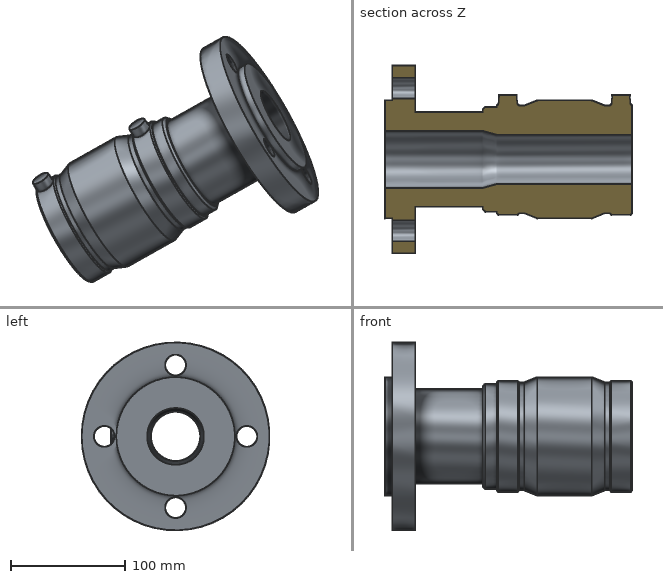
import cadquery as cq

total_length = 217
raised_face_height = 6.5
flange_back = 27.0
collar_start = 85.7
ring_width = 19.8
front_ring_start = 98.0
front_ring_end = front_ring_start + ring_width
rear_ring_start = total_length - ring_width
barrel_start = 133.7
barrel_end = 181.7
cone_length = 11.3

raised_face_diameter = 104.0
flange_diameter = 165
pipe_diameter = 83.3
collar_diameter = 92.5
ring_diameter = 97.7
neck_diameter = 94.8
barrel_diameter = 104.0
collar_chamfer = 2.4
ring_chamfer = (ring_diameter - neck_diameter) / 2

bore_inlet_diameter = 50
bore_outlet_diameter = 43.0
bore_taper_start = collar_start
bore_taper_end = front_ring_start

bolt_count = 4
bolt_hole_diameter = 18.0
bolt_circle_diameter = 125.0

pin_tip_y = 56.6
pin_base_y = 43.5
pin_tip_diameter = 15.8
pin_base_diameter = 17.8


def cylinder(start, end, diameter):
    """Solid cylinder along X between two stations."""
    return cq.Workplane("YZ", origin=(start, 0, 0)).circle(diameter / 2).extrude(end - start)


def revolve_profile(points):
    """Solid of revolution about X from (x, radius) points."""
    return cq.Workplane("XY").polyline(points).close().revolve(360, (0, 0, 0), (1, 0, 0))


def ring(start):
    """Clamping ring with both rims chamfered."""
    return cylinder(start, start + ring_width, ring_diameter).edges().chamfer(ring_chamfer)


def pin(ring_start):
    """Tapered pin standing on the middle of a ring, pointing along +Y."""
    return cq.Workplane(cq.Solid.makeCone(
        pin_base_diameter / 2,
        pin_tip_diameter / 2,
        pin_tip_y - pin_base_y,
        pnt=cq.Vector(ring_start + ring_width / 2, pin_base_y, 0),
        dir=cq.Vector(0, 1, 0),
    ))


body = cylinder(0, flange_back, raised_face_diameter)
body = body.union(cylinder(raised_face_height, flange_back, flange_diameter))
body = body.union(cylinder(0, front_ring_end, pipe_diameter))
collar = cylinder(collar_start, front_ring_end, collar_diameter).faces("<X").edges().chamfer(collar_chamfer)
body = body.union(collar)

neck_radius = neck_diameter / 2
barrel_radius = barrel_diameter / 2
barrel = revolve_profile([
    (front_ring_start + ring_chamfer, 0),
    (front_ring_start + ring_chamfer, neck_radius),
    (barrel_start - cone_length, neck_radius),
    (barrel_start, barrel_radius),
    (barrel_end, barrel_radius),
    (barrel_end + cone_length, neck_radius),
    (total_length - ring_chamfer, neck_radius),
    (total_length - ring_chamfer, 0),
])
body = body.union(barrel)

for start in (front_ring_start, rear_ring_start):
    body = body.union(ring(start)).union(pin(start))

bore = revolve_profile([
    (0, 0),
    (0, bore_inlet_diameter / 2),
    (bore_taper_start, bore_inlet_diameter / 2),
    (bore_taper_end, bore_outlet_diameter / 2),
    (total_length, bore_outlet_diameter / 2),
    (total_length, 0),
])
body = body.cut(bore)

bolt_holes = (
    cq.Workplane("YZ", origin=(raised_face_height, 0, 0))
    .polarArray(bolt_circle_diameter / 2, 0, 360, bolt_count)
    .circle(bolt_hole_diameter / 2)
    .extrude(flange_back - raised_face_height)
)
result = body.cut(bolt_holes)